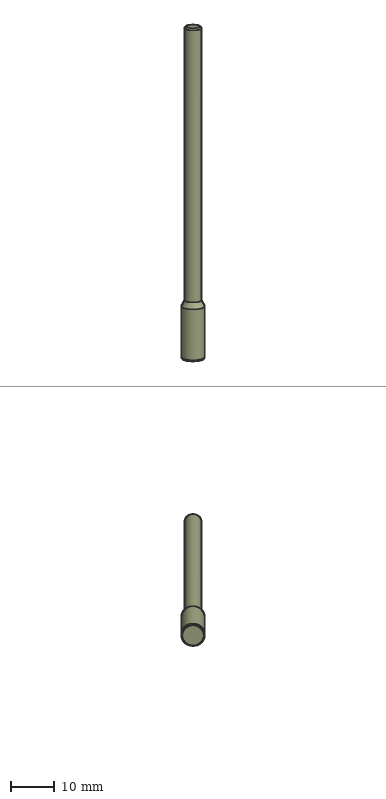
import cadquery as cq

total_length = 80.0
rod_diameter = 4.0
base_diameter = 5.5

base_height = 14.1
shoulder_height = 1.4
foot_chamfer_width = 0.28
foot_chamfer_height = 0.4

rod_length = total_length - base_height
rod_tip_chamfer = 0.4


def make_base():
    """Revolve the half outline of the base about the Z axis."""
    base_radius = base_diameter / 2
    return (
        cq.Workplane("XZ")
        .moveTo(0, 0)
        .lineTo(base_radius - foot_chamfer_width, 0)
        .lineTo(base_radius, foot_chamfer_height)
        .lineTo(base_radius, base_height - shoulder_height)
        .lineTo(rod_diameter / 2, base_height)
        .lineTo(0, base_height)
        .close()
        .revolve(360, (0, 0, 0), (0, 1, 0))
    )


def make_rod():
    """Round rod with a chamfered upper end."""
    return (
        cq.Workplane("XY")
        .workplane(offset=base_height)
        .circle(rod_diameter / 2)
        .extrude(rod_length)
        .faces(">Z")
        .chamfer(rod_tip_chamfer)
    )


base = make_base()
rod = make_rod()

result = cq.Compound.makeCompound([base.val(), rod.val()])